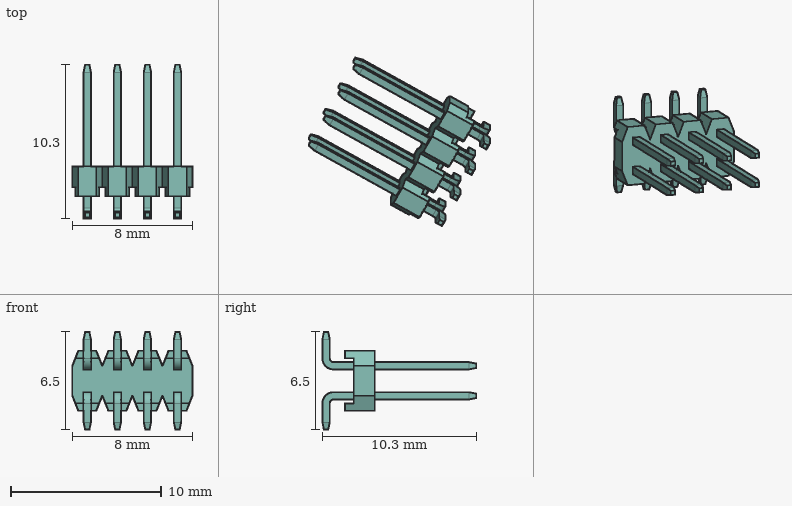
import cadquery as cq


pin_columns = 4
pitch = 2.0

overall_length = 10.25
overall_height = 6.5

housing_length = pin_columns * pitch
housing_height = 2 * pitch
housing_depth = 1.4
lip_depth = 0.59
lip_height = 0.5
notch_depth = 1.0
notch_half_width = 0.4

pin_width = 0.5
tip_length = 0.5
tip_width = 0.3
bend_inner_radius = 0.25
bend_outer_radius = bend_inner_radius + pin_width
tail_reach = 1.5

lip_front_y = -(housing_depth + lip_depth)
pin_front_y = lip_front_y - tail_reach
pin_rear_y = pin_front_y + overall_length
row_z = pitch / 2
tail_center_y = pin_front_y + pin_width / 2
tail_end_z = overall_height / 2
column_positions = [(i - (pin_columns - 1) / 2) * pitch for i in range(pin_columns)]


def make_housing():
    """Row of joined octagonal cells with lips along the front top and bottom edges."""
    shoulder_z = housing_height / 2 - notch_depth
    flat_half_width = pitch / 2 - notch_half_width
    upper_edge = [(-housing_length / 2, shoulder_z)]
    for x in column_positions:
        upper_edge += [
            (x - flat_half_width, housing_height / 2),
            (x + flat_half_width, housing_height / 2),
            (x + pitch / 2, shoulder_z),
        ]
    lower_edge = [(x, -z) for x, z in reversed(upper_edge)]
    housing = (
        cq.Workplane("XZ")
        .polyline(upper_edge + lower_edge)
        .close()
        .extrude(housing_depth + lip_depth)
    )
    front_recess = cq.Workplane("XY").box(
        housing_length,
        lip_depth,
        housing_height - 2 * lip_height,
    ).translate((0, lip_front_y + lip_depth / 2, 0))
    return housing.cut(front_recess)


def make_tip(base_plane):
    """Square pin end tapering along the normal of its base plane."""
    return (
        cq.Workplane(base_plane)
        .rect(pin_width, pin_width)
        .workplane(offset=tip_length)
        .rect(tip_width, tip_width)
        .loft(ruled=True)
    )


def make_upper_pin():
    """Square pin centred on X = 0, bent upward at its front end."""
    bend_start_y = pin_front_y + bend_outer_radius
    bend_end_z = row_z - pin_width / 2 + bend_outer_radius
    mating_tip_y = pin_rear_y - tip_length
    tail_tip_z = tail_end_z - tip_length

    path = (
        cq.Workplane("YZ")
        .moveTo(mating_tip_y, row_z)
        .lineTo(bend_start_y, row_z)
        .tangentArcPoint((tail_center_y, bend_end_z), relative=False)
        .lineTo(tail_center_y, tail_tip_z)
    )
    mating_end = cq.Plane(origin=(0, mating_tip_y, row_z), xDir=(1, 0, 0), normal=(0, 1, 0))
    tail_end = cq.Plane(origin=(0, tail_center_y, tail_tip_z), xDir=(1, 0, 0), normal=(0, 0, 1))
    shank = cq.Workplane(mating_end).rect(pin_width, pin_width).sweep(path)
    return shank.union(make_tip(mating_end)).union(make_tip(tail_end))


upper_pin = make_upper_pin()
lower_pin = upper_pin.mirror("XY")

result = make_housing()
for column_x in column_positions:
    for pin in (upper_pin, lower_pin):
        result = result.union(pin.translate((column_x, 0, 0)))